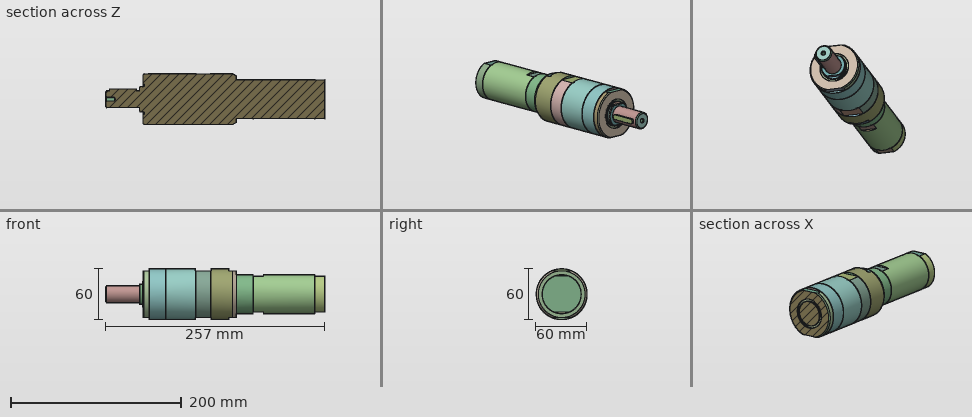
import cadquery as cq
import math

total_length = 257.0
tip_x = -total_length / 2
collar_start = 39.5
collar_flat_end = 43.5
body_start = 43.7
front_flat_end = 50.6
body_joint = 70.7
middle_flat_start = 105.4
middle_flat_end = 124.0
rear_flat_start = 144.5
taper_start = 149.0
body_end = 153.5
housing_flat_start = 173.0
housing_flat_end = 185.0
end_flat_start = 245.5

shaft_diameter = 20.0
shaft_chamfer = 1.3
key_start = 4.4
key_end = 36.5
key_width = 6.0
key_top = 12.0
centre_hole_diameter = 4.0
centre_hole_depth = 10.3
centre_sink_diameter = 5.5
centre_sink_angle = 60.0
drill_point_angle = 120.0

collar_diameter = 30.0
collar_chamfer = 1.0
collar_across_flats = 24.0
recess_diameter = 35.0
recess_depth = 1.5

body_diameter = 60.0
body_across_flats = 55.0
body_chamfer = 1.3
taper_angle = 30.0
groove_width = 0.8
groove_depth = 0.3

housing_diameter = 46.0
housing_across_flats = 42.1


def cylinder(start, end, diameter):
    """Cylinder on the X axis between two stations."""
    return (
        cq.Workplane("YZ", origin=(tip_x + start, 0, 0))
        .circle(diameter / 2)
        .extrude(end - start)
    )


def wrench_flats(start, end, across_flats, diameter):
    """Material outside a pair of flats facing +Z and -Z."""
    length = end - start
    middle = tip_x + (start + end) / 2
    slab = cq.Workplane("XY").box(length, 2 * diameter, 2 * diameter)
    core = cq.Workplane("XY").box(length, 2 * diameter, across_flats)
    return slab.cut(core).translate((middle, 0, 0))


def joint_groove(middle, diameter):
    """V-shaped ring cut into a cylinder of the given diameter."""
    radius = diameter / 2
    return (
        cq.Workplane("XY")
        .moveTo(tip_x + middle - groove_width / 2, radius)
        .lineTo(tip_x + middle, radius - groove_depth)
        .lineTo(tip_x + middle + groove_width / 2, radius)
        .close()
        .revolve(360, (0, 0, 0), (1, 0, 0))
    )


taper_length = body_end - taper_start
taper_drop = taper_length * math.tan(math.radians(taper_angle))
body = cylinder(body_start, body_end, body_diameter)
body = body.faces("<X").chamfer(body_chamfer)
body = body.faces(">X").chamfer(taper_length, taper_drop)
for start, end in (
    (body_start, front_flat_end),
    (middle_flat_start, middle_flat_end),
    (rear_flat_start, body_end),
):
    body = body.cut(wrench_flats(start, end, body_across_flats, body_diameter))
for station in (
    front_flat_end + groove_width / 2,
    body_joint,
    middle_flat_start + groove_width / 2,
    middle_flat_end - groove_width / 2,
):
    body = body.cut(joint_groove(station, body_diameter))
body = body.cut(cylinder(body_start, body_start + recess_depth, recess_diameter))

housing = cylinder(body_end, total_length, housing_diameter)
for start, end in (
    (housing_flat_start, housing_flat_end),
    (end_flat_start, total_length),
):
    housing = housing.cut(wrench_flats(start, end, housing_across_flats, housing_diameter))
for station in (housing_flat_start, end_flat_start):
    housing = housing.cut(joint_groove(station, housing_diameter))

collar = cylinder(collar_start, body_start + recess_depth, collar_diameter)
collar = collar.faces("<X").chamfer(collar_chamfer)
collar = collar.cut(
    wrench_flats(collar_start, collar_flat_end, collar_across_flats, collar_diameter)
)
collar = collar.cut(joint_groove(collar_flat_end, collar_diameter))

shaft = cylinder(0, collar_start, shaft_diameter).faces("<X").chamfer(shaft_chamfer)
key = (
    cq.Workplane("XZ", origin=(tip_x + (key_start + key_end) / 2, 0, 0))
    .slot2D(key_end - key_start, key_width)
    .extrude(-key_top)
)
shaft = shaft.union(key)
hole_radius = centre_hole_diameter / 2
sink_radius = centre_sink_diameter / 2
sink_depth = (sink_radius - hole_radius) / math.tan(math.radians(centre_sink_angle / 2))
drill_point_depth = hole_radius / math.tan(math.radians(drill_point_angle / 2))
centre_hole = (
    cq.Workplane("XY", origin=(tip_x, 0, 0))
    .lineTo(0, sink_radius)
    .lineTo(sink_depth, hole_radius)
    .lineTo(centre_hole_depth, hole_radius)
    .lineTo(centre_hole_depth + drill_point_depth, 0)
    .close()
    .revolve(360, (0, 0, 0), (1, 0, 0))
)
shaft = shaft.cut(centre_hole)

result = body.union(housing).union(collar).union(shaft)